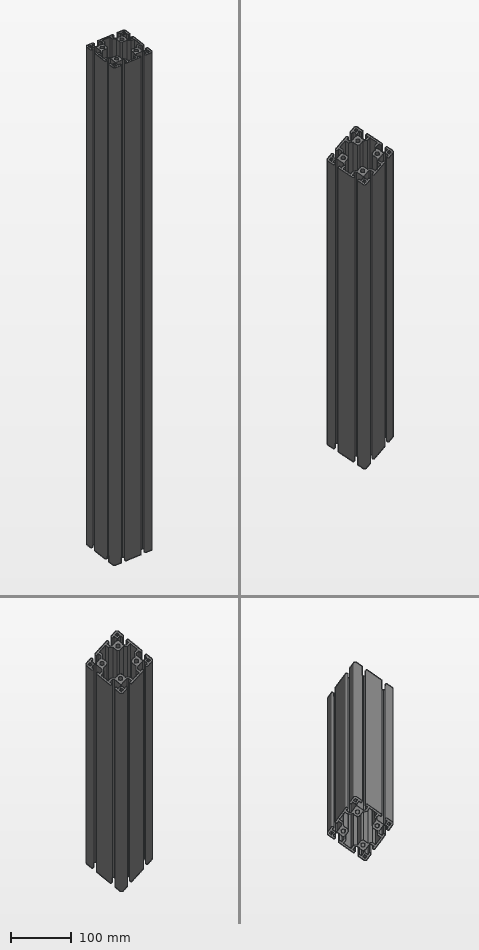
import cadquery as cq
import math

WIDTH = 80.0
LENGTH = 1000.0
CORNER_RADIUS = 4.0

SLOT_OFFSET = WIDTH / 4
SLOT_OPENING = 8.0
SLOT_UNDERCUT = 4.6
SLOT_CHAMFER = 2.0
POCKET_DEPTH = 8.0
LIP_THICKNESS = 4.0
LIP_RADIUS = 1.5

OUTER_WALL = 3.6
ARM_HALF_WIDTH = 7.5
ARM_LENGTH = 6.5
FLARE_RISE = 5.3
FLARE_LENGTH = 5.0
CORE_CHAMFER = 3.0

SCREW_HOLE_DIAMETER = 6.8
CORNER_HOLE_SIZE = 4.4
CORNER_HOLE_INSET = 6.0

HALF_WIDTH = WIDTH / 2
SIDE_ANGLES = (0, 90, 180, 270)


def four_corners(distance):
    """Points at the same distance from both centre planes, one in each quarter."""
    return [(x, y) for x in (-distance, distance) for y in (-distance, distance)]


def body():
    bar = cq.Workplane("XY").rect(WIDTH, WIDTH).extrude(LENGTH)
    return bar.edges("|Z").fillet(CORNER_RADIUS)


def t_slot(center_x):
    """T-slot on the +Y side; its mouth is rounded where it meets the outer face."""
    mouth = SLOT_OPENING / 2
    inner = mouth + SLOT_UNDERCUT
    lip_y = HALF_WIDTH - LIP_THICKNESS
    floor_y = lip_y - POCKET_DEPTH
    chamfer_x = inner - SLOT_CHAMFER
    chamfer_y = floor_y + SLOT_CHAMFER
    round_y = HALF_WIDTH - LIP_RADIUS
    arc_offset = LIP_RADIUS * (1 - math.sqrt(0.5))
    return (
        cq.Workplane("XY")
        .moveTo(center_x - inner, chamfer_y)
        .lineTo(center_x - chamfer_x, floor_y)
        .lineTo(center_x + chamfer_x, floor_y)
        .lineTo(center_x + inner, chamfer_y)
        .lineTo(center_x + inner, lip_y)
        .lineTo(center_x + mouth, lip_y)
        .lineTo(center_x + mouth, round_y)
        .threePointArc(
            (center_x + mouth + arc_offset, HALF_WIDTH - arc_offset),
            (center_x + mouth + LIP_RADIUS, HALF_WIDTH),
        )
        .lineTo(center_x - mouth - LIP_RADIUS, HALF_WIDTH)
        .threePointArc(
            (center_x - mouth - arc_offset, HALF_WIDTH - arc_offset),
            (center_x - mouth, round_y),
        )
        .lineTo(center_x - mouth, lip_y)
        .lineTo(center_x - inner, lip_y)
        .close()
        .extrude(LENGTH)
    )


def cavity_arm():
    """Arm of the cavity from the centre to the +Y side, with bevels shared by neighbouring arms."""
    arm = ARM_HALF_WIDTH
    core = arm + FLARE_RISE
    arm_end = HALF_WIDTH - OUTER_WALL
    flare_start = arm_end - ARM_LENGTH
    flare_end = flare_start - FLARE_LENGTH
    core_diagonal = core + CORE_CHAMFER / 2
    half_outline = [
        (core_diagonal, core_diagonal),
        (core, core + CORE_CHAMFER),
        (core, flare_end),
        (arm, flare_start),
        (arm, arm_end),
    ]
    mirrored = [(-x, y) for x, y in reversed(half_outline)]
    return cq.Workplane("XY").polyline([(0, 0)] + half_outline + mirrored).close().extrude(LENGTH)


def screw_holes():
    points = four_corners(SLOT_OFFSET)
    return cq.Workplane("XY").pushPoints(points).circle(SCREW_HOLE_DIAMETER / 2).extrude(LENGTH)


def corner_holes():
    points = four_corners(HALF_WIDTH - CORNER_HOLE_INSET)
    return cq.Workplane("XY").pushPoints(points).rect(CORNER_HOLE_SIZE, CORNER_HOLE_SIZE).extrude(LENGTH)


def rotated(shape, angle):
    return shape.rotate((0, 0, 0), (0, 0, 1), angle)


result = body()
for side_angle in SIDE_ANGLES:
    result = result.cut(rotated(cavity_arm(), side_angle))
    for slot_x in (-SLOT_OFFSET, SLOT_OFFSET):
        result = result.cut(rotated(t_slot(slot_x), side_angle))
result = result.cut(screw_holes())
result = result.cut(corner_holes())